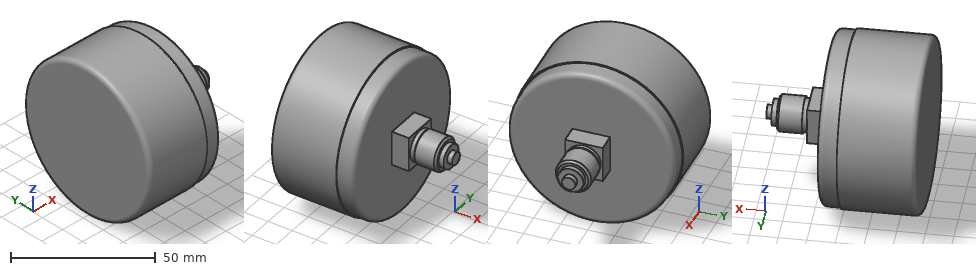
import cadquery as cq

case_diameter = 63.0
case_length = 27.5
rim_diameter = 62.0
rim_end = 34.5
edge_radius = 2.0

wrench_width = 14.0
wrench_end = 41.6

thread_diameter = 13.15
thread_start = 43.5
thread_end = 52.5
thread_chamfer = 0.8
neck_edge_diameter = 12.55
neck_diameter = 11.9

spigot_diameter = 9.5
spigot_end = 54.45
tip_diameter = 5.0
tip_end = 56.5


def cylinder(diameter, start, end):
    """Solid cylinder on the X axis between two axial positions."""
    return cq.Workplane("YZ", origin=(start, 0, 0)).circle(diameter / 2).extrude(end - start)


def make_neck():
    """Relief behind the thread, with a concave arc as its profile."""
    edge_height = neck_edge_diameter / 2
    middle = (wrench_end + thread_start) / 2
    return (
        cq.Workplane("XY")
        .moveTo(wrench_end, 0)
        .lineTo(wrench_end, edge_height)
        .threePointArc((middle, neck_diameter / 2), (thread_start, edge_height))
        .lineTo(thread_start, 0)
        .close()
        .revolve(360, (0, 0, 0), (1, 0, 0))
    )


case = cylinder(case_diameter, 0, case_length).faces("<X").edges().fillet(edge_radius)
rim = cylinder(rim_diameter, case_length, rim_end).faces(">X").edges().fillet(edge_radius)

wrench_block = (
    cq.Workplane("YZ", origin=(rim_end, 0, 0))
    .rect(wrench_width, wrench_width)
    .extrude(wrench_end - rim_end)
)

thread = cylinder(thread_diameter, thread_start, thread_end).faces(">X").chamfer(thread_chamfer)
spigot = cylinder(spigot_diameter, thread_end, spigot_end)
tip = cylinder(tip_diameter, spigot_end, tip_end)

result = case.union(rim).union(wrench_block).union(make_neck())
result = result.union(thread).union(spigot).union(tip)